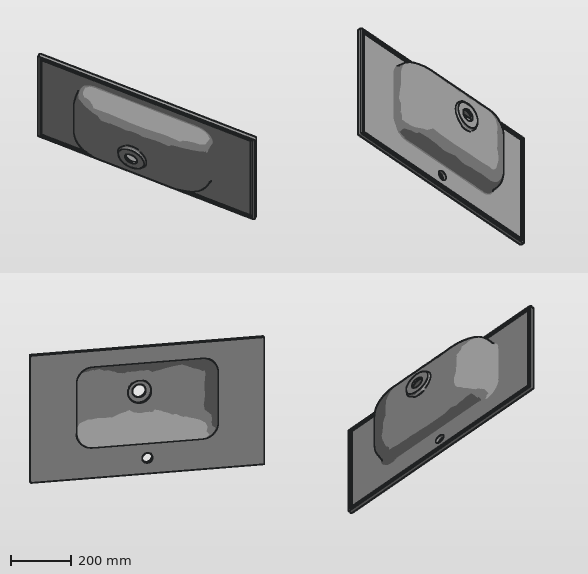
import cadquery as cq

slab_width = 801.0
slab_height = 451.0
slab_thickness = 14.0
slab_corner_radius = 4.0
total_depth = 130.0

groove_inset = 12.0
groove_radius = 3.0

bowl_center_z = 25.0
bowl_half_width = 251.0
bowl_half_height = 151.0
bowl_corner_radius = 63.0
bowl_depth = 108.0
bowl_power = 3
bowl_wall = 8.0
rim_fillet = 9.0
section_scales = (1.0, 0.98, 0.94, 0.86, 0.75, 0.6, 0.4, 0.2)
floor_corner_ratio = 0.95

drain_radius = 48.0
drain_flare = 10.0
drain_hole_diameter = 46.0
tap_hole_diameter = 35.0
tap_hole_z = -170.0


def plane_at(depth, center_z=0.0):
    """Workplane facing -Y at the given depth."""
    return cq.Workplane("XZ", origin=(0, -depth, center_z))


def bowl_section(scale, inset):
    """Rounded rectangle of the bowl, relatively rounder the smaller it gets."""
    half_width = (bowl_half_width - inset) * scale
    half_height = (bowl_half_height - inset) * scale
    rim_corner_ratio = (bowl_corner_radius - inset) / (bowl_half_height - inset)
    corner_ratio = floor_corner_ratio + (rim_corner_ratio - floor_corner_ratio) * scale
    return (
        cq.Sketch()
        .rect(2 * half_width, 2 * half_height)
        .vertices()
        .fillet(corner_ratio * half_height)
    )


def bowl_body(inset):
    """Smooth solid filling the bowl, with its surface moved inward by the inset."""
    sections = []
    for scale in section_scales:
        depth = (bowl_depth - inset) * (1 - scale**bowl_power) ** (1 / bowl_power)
        sections.append(bowl_section(scale, inset).moved(cq.Location((0, 0, depth))))
    return plane_at(slab_thickness, bowl_center_z).placeSketch(*sections).loft()


def drain_boss():
    """Round boss at the drain, with a concave flare where it leaves the bowl."""
    inner_depth = slab_thickness + bowl_depth - bowl_wall
    flare_radius = drain_radius + drain_flare
    profile = (
        cq.Workplane("XY")
        .moveTo(0, -inner_depth)
        .lineTo(flare_radius, -inner_depth)
        .lineTo(flare_radius, drain_flare - total_depth)
        .radiusArc((drain_radius, -total_depth), -drain_flare)
        .lineTo(0, -total_depth)
        .close()
    )
    return profile.revolve(360, (0, 0, 0), (0, 1, 0)).translate((0, 0, bowl_center_z))


def groove():
    """Half-round channel with mitred corners, centred on the slab's bowl-side face."""
    half_width = slab_width / 2 - groove_inset
    half_height = slab_height / 2 - groove_inset
    path = plane_at(slab_thickness).rect(2 * half_width, 2 * half_height)
    profile = cq.Workplane("XY", origin=(-half_width, -slab_thickness, 0)).circle(groove_radius)
    return profile.sweep(path, transition="right")


def hole(diameter, center_z, depth=total_depth):
    """Round cutter from the flat face of the slab down to the given depth."""
    return plane_at(0, center_z).circle(diameter / 2).extrude(depth)


slab = plane_at(0).rect(slab_width, slab_height).extrude(slab_thickness)
slab = slab.edges("|Y").fillet(slab_corner_radius)
rim_half_width = bowl_half_width + rim_fillet
rim_half_height = bowl_half_height + rim_fillet
rim_box = cq.selectors.BoxSelector(
    (-rim_half_width, -slab_thickness - rim_fillet, bowl_center_z - rim_half_height),
    (rim_half_width, rim_fillet - slab_thickness, bowl_center_z + rim_half_height),
    boundingbox=True,
)
outside = slab.union(bowl_body(0)).edges(rim_box).fillet(rim_fillet).union(drain_boss())

drain_recess_diameter = 2 * (drain_radius - bowl_wall)
drain_recess_depth = total_depth - bowl_wall
opening = plane_at(0, bowl_center_z).placeSketch(bowl_section(1, bowl_wall)).extrude(slab_thickness)

result = (
    outside.cut(opening)
    .cut(bowl_body(bowl_wall))
    .cut(groove())
    .cut(hole(drain_recess_diameter, bowl_center_z, drain_recess_depth))
    .cut(hole(drain_hole_diameter, bowl_center_z))
    .cut(hole(tap_hole_diameter, tap_hole_z))
)